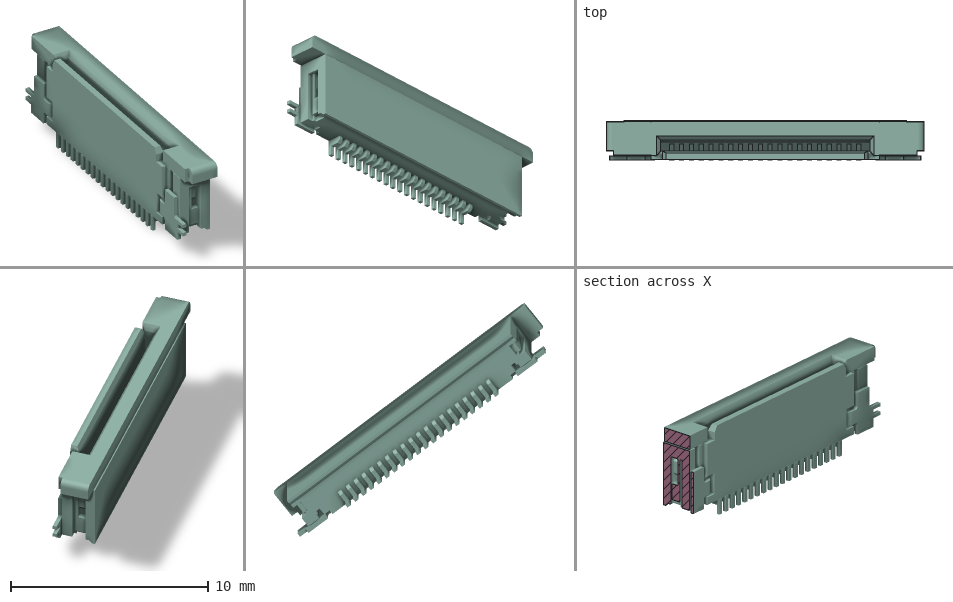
import cadquery as cq


length = 16.1
depth = 2.01
height = 5.0

housing_half = 7.16
housing_front = 0.25
housing_bottom = 0.85
housing_top = 4.17
lip_bottom = 0.7
lip_thickness = 0.16
panel_half = 5.8
panel_front = 0.02
panel_depth = 0.47
tongue_half = 5.2
tongue_chamfer_x = 0.18
tongue_rear_chamfer = 0.11
lead_in_depth = 0.34

bar_bottom = 4.23
bar_rear = 1.95
bar_front = 0.24
bar_end_front = 0.47
bar_end_length = 0.35
bar_end_radius = 0.3
bar_opening_half = 5.5
bar_opening_rear = 1.22
bar_opening_chamfer = 0.2

slot_half = bar_opening_half - bar_opening_chamfer
slot_rear = 0.92
slot_mouth_rear = 1.01
slot_floor = 2.25
slot_lead_in = 0.23

groove_outer = 6.47
groove_inner = 6.13
groove_step = 0.1
groove_shallow_rear = 0.48
groove_deep_rear = 0.65

end_slot_front = 0.79
end_slot_rear = 1.5
end_slot_top = 3.5
end_slot_floor = 6.68
end_slot_step = 6.85
latch_face = 6.97
latch_front = 0.9
latch_rear = 1.47
latch_bottom = 1.15
latch_step_front = 1.05
latch_step_top = 2.05
hook_face = 6.86
hook_rear = 1.35
hook_bottom = 2.43
hook_bevel = 0.21

terminal_count = 20
terminal_pitch = 0.5
terminal_width = 0.21
terminal_foot_depth = 0.18
terminal_heel = 0.5
terminal_chamfer = 0.16
notch_front = panel_depth
notch_rear = 0.8
notch_depth = 0.08

tab_thickness = 0.21
tab_inner = 6.09
tab_upper_outer = 7.02
tab_lower_outer = 7.34
tab_tip = 7.89
tab_top = 3.06
tab_bottom = 0.74
finger_height = 0.2
upper_finger_top = 1.9
lower_finger_top = 1.42
arm_bottom = 1.42
arm_top = 2.15
arm_bend_start = 5.7
arm_bend_radius = 0.32
tab_corner_radius = 0.16
finger_root_radius = 0.13

pocket_end = 5.2
pocket_bottom = 1.27
pocket_top = 2.45
pocket_floor = 0.42


def box(x0, x1, y0, y1, z0, z1):
    """Block between two corners."""
    return cq.Workplane("XY").box(x1 - x0, y1 - y0, z1 - z0, centered=False).translate((x0, y0, z0))


def prism_along_x(points, x0, x1):
    """Outline in (Y, Z) extruded from x0 to x1."""
    return cq.Workplane("YZ").polyline(points).close().extrude(x1 - x0).translate((x0, 0, 0))


def prism_along_y(points, y0, y1):
    """Outline in (X, Z) extruded from y0 to y1."""
    return cq.Workplane("XZ").polyline(points).close().extrude(y0 - y1).translate((0, y0, 0))


def both_ends(shape):
    """A left-end feature together with its mirror image at the right end."""
    return shape.union(shape.mirror("YZ"))


def make_housing():
    """Rear block with a bottom lip, joined to a taller core whose front is the raised panel."""
    block = prism_along_x(
        [
            (housing_front, housing_top),
            (housing_front, housing_bottom),
            (depth - lip_thickness - (housing_bottom - lip_bottom), housing_bottom),
            (depth - lip_thickness, lip_bottom),
            (depth, lip_bottom),
            (depth, housing_top),
        ],
        -housing_half,
        housing_half,
    )
    core = box(-panel_half, panel_half, panel_front, bar_rear, housing_bottom, bar_bottom)
    return block.union(core)


def make_tongue():
    """Upper part of the front panel, bevelled at both top corners and along its rear top edge."""
    shoulder = height - lead_in_depth
    front_outline = prism_along_y(
        [
            (-tongue_half, housing_bottom),
            (tongue_half, housing_bottom),
            (tongue_half, shoulder),
            (tongue_half - tongue_chamfer_x, height),
            (tongue_chamfer_x - tongue_half, height),
            (-tongue_half, shoulder),
        ],
        panel_front,
        panel_depth,
    )
    side_outline = prism_along_x(
        [
            (panel_front, housing_bottom),
            (panel_depth, housing_bottom),
            (panel_depth, shoulder),
            (panel_depth - tongue_rear_chamfer, height),
            (panel_front, height),
        ],
        -tongue_half,
        tongue_half,
    )
    return front_outline.intersect(side_outline)


def make_bar():
    """Actuator bar with rounded, set-back ends and a funnel-shaped opening for the cable."""
    half = length / 2
    ends = box(-half, half, bar_end_front, bar_rear, bar_bottom, height)
    ends = ends.edges("|Y and >Z").fillet(bar_end_radius)
    middle_half = half - bar_end_length
    bar = ends.union(box(-middle_half, middle_half, bar_front, bar_rear, bar_bottom, height))

    throat = (
        cq.Workplane("XY", origin=(0, 0, bar_bottom))
        .polyline(
            [
                (-bar_opening_half, bar_front),
                (bar_opening_half, bar_front),
                (slot_half, bar_front + bar_opening_chamfer),
                (slot_half, slot_mouth_rear),
                (-slot_half, slot_mouth_rear),
                (-slot_half, bar_front + bar_opening_chamfer),
            ]
        )
        .close()
        .extrude(height - bar_bottom)
    )
    mouth = (
        cq.Workplane("XY", origin=(0, (bar_front + slot_mouth_rear) / 2, height - lead_in_depth))
        .rect(2 * slot_half, slot_mouth_rear - bar_front)
        .workplane(offset=lead_in_depth)
        .center(0, (bar_opening_rear - slot_mouth_rear) / 2)
        .rect(2 * bar_opening_half, bar_opening_rear - bar_front)
        .loft(ruled=True)
    )
    return bar.cut(throat).cut(mouth)


def make_cable_slot():
    """Slot behind the panel that receives the flat cable, flared at its rear top edge."""
    return prism_along_x(
        [
            (panel_depth, slot_floor),
            (slot_rear, slot_floor),
            (slot_rear, bar_bottom - slot_lead_in),
            (slot_mouth_rear, bar_bottom),
            (panel_depth, bar_bottom),
        ],
        -slot_half,
        slot_half,
    )


def make_grooves():
    """Stepped vertical grooves between the panel and the end walls."""
    z_range = (housing_bottom, housing_top)
    shallow = box(-groove_outer, -groove_inner, housing_front, groove_shallow_rear, *z_range)
    deep = box(groove_step - groove_outer, -groove_inner, housing_front, groove_deep_rear, *z_range)
    return both_ends(shallow.union(deep))


def make_end_slots():
    """Side slots, open at the bottom, with a narrower inner part that holds the latch block."""
    outer = box(-housing_half, -end_slot_step, end_slot_front, end_slot_rear, housing_bottom, end_slot_top)
    inner = box(-end_slot_step, -end_slot_floor, latch_front, end_slot_rear, housing_bottom, end_slot_top)
    return both_ends(outer.union(inner))


def make_latches():
    """Latch blocks in the end slots, each stepped back above a ledge and carrying a bevelled hook."""
    ledge = box(-latch_face, -end_slot_floor, latch_front, latch_rear, latch_bottom, latch_step_top)
    post = box(-latch_face, -end_slot_floor, latch_front, latch_step_front, latch_step_top, end_slot_top)
    hook = prism_along_y(
        [
            (-end_slot_floor, hook_bottom),
            (-hook_face, hook_bottom + hook_bevel),
            (-hook_face, end_slot_top - hook_bevel),
            (-end_slot_floor, end_slot_top),
        ],
        latch_step_front,
        hook_rear,
    )
    return both_ends(ledge.union(post).union(hook))


def make_pockets():
    """Panel pockets that taper from their mouth on the front face to the size of the tab arm."""
    bend_end = arm_bend_start - arm_bend_radius
    mouth = [
        (-panel_half, 0, pocket_bottom),
        (-pocket_end, 0, pocket_bottom),
        (-pocket_end, 0, pocket_top),
        (-panel_half, 0, pocket_top),
    ]
    floor = [
        (-panel_half, pocket_floor, arm_bottom),
        (-bend_end, pocket_floor, arm_bottom),
        (-bend_end, pocket_floor, arm_top),
        (-panel_half, pocket_floor, arm_top),
    ]
    wires = [cq.Wire.makePolygon([cq.Vector(*p) for p in loop], close=True) for loop in (mouth, floor)]
    return both_ends(cq.Workplane(cq.Solid.makeLoft(wires, True)))


def make_tabs():
    """Solder tabs with two outward fingers and an arm that bends rearward into the panel pocket."""
    upper = box(-tab_upper_outer, -tab_inner, 0, tab_thickness, upper_finger_top, tab_top)
    lower = box(-tab_lower_outer, -tab_inner, 0, tab_thickness, tab_bottom, upper_finger_top)
    arm = box(-tab_inner, -arm_bend_start, 0, tab_thickness, arm_bottom, arm_top)
    tab = upper.union(lower).union(arm)
    corners = cq.selectors.BoxSelector(
        (-tab_inner - tab_corner_radius / 2, -depth, arm_bottom - tab_corner_radius / 2),
        (-tab_inner + tab_corner_radius / 2, depth, arm_top + tab_corner_radius / 2),
    )
    tab = tab.edges("|Y").edges(corners).fillet(tab_corner_radius)
    finger_root = cq.selectors.NearestToPointSelector((-tab_upper_outer, tab_thickness / 2, upper_finger_top))
    tab = tab.edges("|Y").edges(finger_root).fillet(finger_root_radius)
    for finger_top in (upper_finger_top, lower_finger_top):
        finger = box(-tab_tip, -tab_inner, 0, tab_thickness, finger_top - finger_height, finger_top)
        tab = tab.union(finger)
    bend = (
        cq.Workplane("XY", origin=(-arm_bend_start, 0, arm_bottom))
        .radiusArc((arm_bend_radius, arm_bend_radius), -arm_bend_radius)
        .lineTo(arm_bend_radius, pocket_floor)
        .lineTo(0, pocket_floor)
        .close()
        .extrude(arm_top - arm_bottom)
    )
    return both_ends(tab.union(bend))


def make_terminal(x):
    """Bent terminal: heel under the housing and a foot running down the front face."""
    outline = [
        (0, 0),
        (terminal_foot_depth, 0),
        (terminal_foot_depth, terminal_heel),
        (end_slot_front - terminal_chamfer, terminal_heel),
        (end_slot_front, terminal_heel + terminal_chamfer),
        (end_slot_front, housing_bottom),
        (0, housing_bottom),
    ]
    return prism_along_x(outline, x - terminal_width / 2, x + terminal_width / 2)


def make_contact_notch(x):
    """Ramped notch in the cable-slot floor above a terminal, deepest at its rear."""
    outline = [(notch_front, slot_floor), (notch_rear, slot_floor), (notch_rear, slot_floor - notch_depth)]
    return prism_along_x(outline, x - terminal_width / 2, x + terminal_width / 2)


result = make_housing().union(make_tongue()).cut(make_cable_slot())
result = result.cut(make_grooves()).cut(make_end_slots()).cut(make_pockets())
result = result.union(make_bar()).union(make_latches()).union(make_tabs())
for index in range(terminal_count):
    terminal_x = (index - (terminal_count - 1) / 2) * terminal_pitch
    result = result.union(make_terminal(terminal_x)).cut(make_contact_notch(terminal_x))